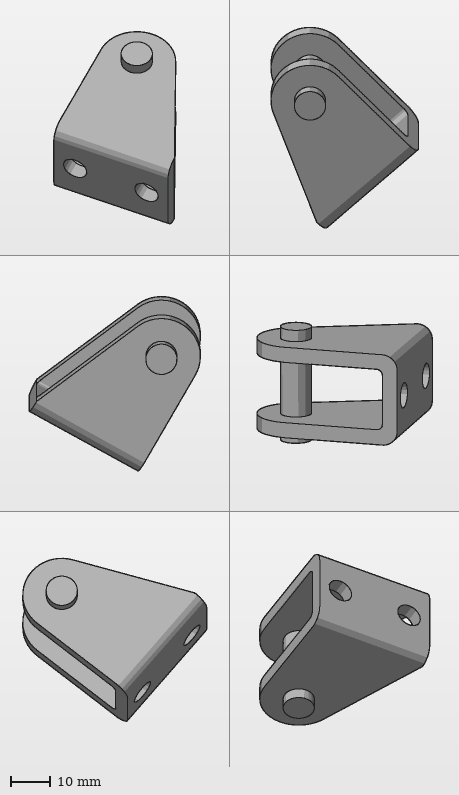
import cadquery as cq
import math

width = 32.0
depth = 40.0
height = 24.0
thickness = 4.0
outer_bend_radius = 4.0
inner_bend_radius = 1.5
ear_radius = 10.0

pin_diameter = 8.0
pin_length = 30.0
pin_x = ear_radius
pin_y = depth - ear_radius

hole_diameter = 6.5
hole_spacing = 20.0
first_hole_x = 6.0


def make_channel():
    """U-section open toward +Y, centred on Z = 0."""
    outer = (
        cq.Workplane("XY")
        .box(width, depth, height, centered=(False, False, True))
        .edges("|X and <Y")
        .fillet(outer_bend_radius)
    )
    inner = (
        cq.Workplane("XY")
        .box(width, depth, height - 2 * thickness, centered=(False, False, True))
        .edges("|X and <Y")
        .fillet(inner_bend_radius)
        .translate((0, thickness, 0))
    )
    return outer.cut(inner)


def make_ear_outline():
    """Plan shape: straight left side, round nose and a sloping side tangent to the nose."""
    run_x = width - pin_x
    run_y = thickness - pin_y
    corner_distance = math.hypot(run_x, run_y)
    tangent_angle = math.atan2(run_y, run_x) + math.acos(ear_radius / corner_distance)
    tangent_point = (
        pin_x + ear_radius * math.cos(tangent_angle),
        pin_y + ear_radius * math.sin(tangent_angle),
    )
    return (
        cq.Workplane("XY")
        .moveTo(0, 0)
        .lineTo(width, 0)
        .lineTo(width, thickness)
        .lineTo(*tangent_point)
        .threePointArc((pin_x, depth), (0, pin_y))
        .close()
        .extrude(height / 2, both=True)
    )


def make_mounting_holes():
    """Cylinders along Y that pierce only the web."""
    return (
        cq.Workplane("XZ")
        .pushPoints([(first_hole_x, 0), (first_hole_x + hole_spacing, 0)])
        .circle(hole_diameter / 2)
        .extrude(-thickness)
    )


def make_pin():
    """Plain round pin standing out equally beyond both ears."""
    return (
        cq.Workplane("XY")
        .center(pin_x, pin_y)
        .circle(pin_diameter / 2)
        .extrude(pin_length / 2, both=True)
    )


bracket = make_channel().intersect(make_ear_outline()).cut(make_mounting_holes())
result = bracket.union(make_pin())